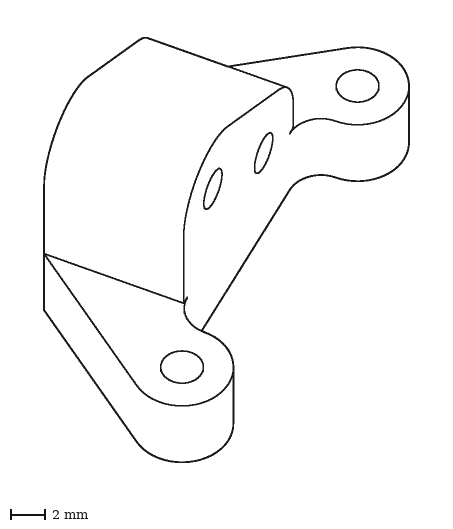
import cadquery as cq
import math

block_width = 9.0
block_length = 15.0
block_height = 15.0
corner_radius = 4.0
low_corner_height = 7.0
low_hole_y = 3.42
hole_diameter = 2.5

overall_width = 14.0
overall_length = 30.0
ear_radius = 3.0
ear_thickness = 5.0

half_length = block_length / 2
corner_y = half_length - corner_radius
high_corner_height = block_height - corner_radius
ear_x = overall_width - ear_radius
ear_y = overall_length / 2 - ear_radius


def make_block():
    """Block with a sloped top, tangent to two equal rounded corners."""
    slope = math.atan2(high_corner_height - low_corner_height, 2 * corner_y)

    def on_corner(center_y, center_z, angle):
        return (
            center_y + corner_radius * math.cos(angle),
            center_z + corner_radius * math.sin(angle),
        )

    normal = math.pi / 2 - slope
    high_mid = (normal + math.pi) / 2
    low_mid = normal / 2
    block = (
        cq.Workplane("YZ")
        .moveTo(-half_length, 0)
        .lineTo(-half_length, high_corner_height)
        .threePointArc(
            on_corner(-corner_y, high_corner_height, high_mid),
            on_corner(-corner_y, high_corner_height, normal),
        )
        .lineTo(*on_corner(corner_y, low_corner_height, normal))
        .threePointArc(
            on_corner(corner_y, low_corner_height, low_mid),
            (half_length, low_corner_height),
        )
        .lineTo(half_length, 0)
        .close()
        .extrude(block_width)
    )
    holes = (
        cq.Workplane("YZ")
        .pushPoints([(-corner_y, high_corner_height), (low_hole_y, low_corner_height)])
        .circle(hole_diameter / 2)
        .extrude(block_width)
    )
    return block.cut(holes)


def make_ear():
    """Ear on the +Y side, tapering from the block's corner to a round end."""
    rise = ear_y - half_length
    distance = math.hypot(ear_x, rise)
    tangent_angle = math.atan2(-rise, -ear_x) - math.acos(ear_radius / distance)
    tangent_point = (
        ear_x + ear_radius * math.cos(tangent_angle),
        ear_y + ear_radius * math.sin(tangent_angle),
    )

    fillet_radius = ear_x - block_width
    fillet_y = ear_y - ear_radius - fillet_radius
    fillet_mid = (
        ear_x - fillet_radius * math.sqrt(0.5),
        fillet_y + fillet_radius * math.sqrt(0.5),
    )
    return (
        cq.Workplane("XY")
        .moveTo(0, fillet_y)
        .lineTo(0, half_length)
        .lineTo(*tangent_point)
        .threePointArc((ear_x + ear_radius, ear_y), (ear_x, ear_y - ear_radius))
        .threePointArc(fillet_mid, (block_width, fillet_y))
        .close()
        .extrude(ear_thickness)
        .cut(cq.Workplane("XY").center(ear_x, ear_y).circle(hole_diameter / 2).extrude(ear_thickness))
    )


ear = make_ear()
result = make_block().union(ear).union(ear.mirror("XZ"))